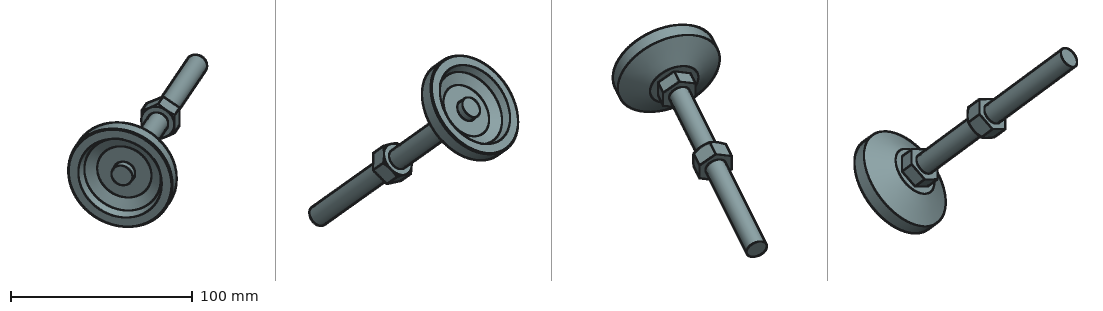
import cadquery as cq
import math

overall_length = 145.0

rod_diameter = 12.0
pin_end_recess = 3.5
hex_across_flats = 19.0
collar_height = 8.0

pad_diameter = 60.0
pad_rim_height = 8.5
pad_height = 17.0
pad_top_diameter = 28.4
pad_edge_chamfer = 0.51
pin_hole_diameter = 12.5

cavity_mouth_diameter = 48.0
cavity_bend_diameter = 44.0
cavity_floor_diameter = 31.2
cavity_bend_depth = 4.6
cavity_floor_depth = 8.0

nut_bottom = 71.2
nut_height = 10.2
nut_chamfer_angle = 30.0

hex_across_corners = hex_across_flats / math.cos(math.radians(30))


def cylinder(diameter, y_start, y_end):
    """Round bar on the Y axis between two heights."""
    return (
        cq.Workplane("XZ", origin=(0, y_start, 0))
        .circle(diameter / 2)
        .extrude(y_start - y_end)
    )


def hex_prism(y_start, height):
    """Hexagonal prism on the Y axis with flats facing -X and +X."""
    return (
        cq.Workplane("XZ", origin=(0, y_start, 0))
        .transformed(rotate=(0, 0, 90))
        .polygon(6, hex_across_corners)
        .extrude(-height)
    )


def revolve_profile(points):
    """Solid of revolution about Y from (radius, y) points."""
    return cq.Workplane("XY").polyline(points).close().revolve(360, (0, 0, 0), (0, 1, 0))


def make_pad():
    outer_radius = pad_diameter / 2
    hole_radius = pin_hole_diameter / 2
    return revolve_profile([
        (hole_radius, cavity_floor_depth),
        (cavity_floor_diameter / 2, cavity_floor_depth),
        (cavity_bend_diameter / 2, cavity_bend_depth),
        (cavity_mouth_diameter / 2, 0),
        (outer_radius - pad_edge_chamfer, 0),
        (outer_radius, pad_edge_chamfer),
        (outer_radius, pad_rim_height),
        (pad_top_diameter / 2, pad_height),
        (hole_radius, pad_height),
    ])


def make_stud():
    rod = cylinder(rod_diameter, pin_end_recess, overall_length)
    collar = hex_prism(pad_height, collar_height)
    return rod.union(collar)


def make_nut():
    flat_radius = hex_across_flats / 2
    corner_radius = hex_across_corners / 2
    chamfer_height = (corner_radius - flat_radius) * math.tan(math.radians(nut_chamfer_angle))
    nut_top = nut_bottom + nut_height
    corner_envelope = revolve_profile([
        (0, nut_bottom),
        (flat_radius, nut_bottom),
        (corner_radius, nut_bottom + chamfer_height),
        (corner_radius, nut_top),
        (0, nut_top),
    ])
    bore = cylinder(rod_diameter, nut_bottom, nut_top)
    return hex_prism(nut_bottom, nut_height).intersect(corner_envelope).cut(bore)


pad = make_pad()
stud = make_stud()
nut = make_nut()

result = cq.Compound.makeCompound([pad.val(), stud.val(), nut.val()])